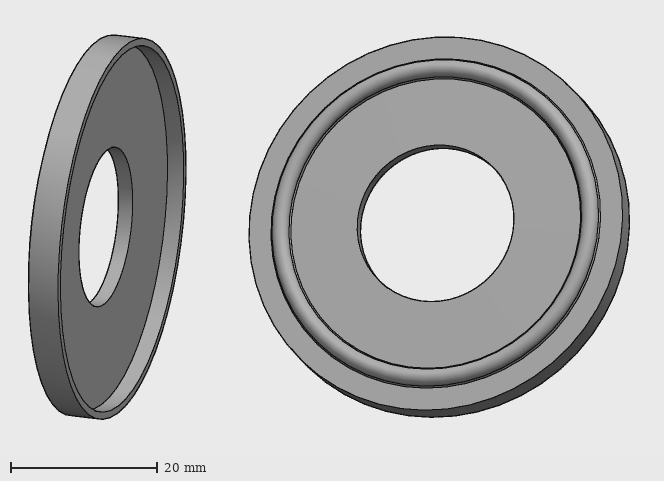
import cadquery as cq

rim_diameter = 52.5
bore_diameter = 22.0
rim_width = 4.3
rim_wall = 1.0
bore_length = 2.1
web_rise = 0.15
bead_height = 1.5
bead_pitch_diameter = 43.5
bead_radius = 1.2
bead_foot_flare = 0.2

rim_radius = rim_diameter / 2
recess_radius = rim_radius - rim_wall
bore_radius = bore_diameter / 2
bead_pitch_radius = bead_pitch_diameter / 2
bead_outer_radius = bead_pitch_radius + bead_radius
bead_inner_radius = bead_pitch_radius - bead_radius

lip_x = 0
face_x = lip_x - rim_width
crest_x = face_x - bead_height
bead_center_x = crest_x + bead_radius
bore_front_x = face_x - web_rise
recess_floor_x = bore_front_x + bore_length


def gasket_profile():
    """Half section in the XZ plane, with Z as the distance from the X axis."""
    return (
        cq.Workplane("XZ")
        .moveTo(recess_floor_x, bore_radius)
        .lineTo(recess_floor_x, recess_radius)
        .lineTo(lip_x, recess_radius)
        .lineTo(lip_x, rim_radius)
        .lineTo(face_x, rim_radius)
        .lineTo(face_x, bead_outer_radius + bead_foot_flare)
        .lineTo(bead_center_x, bead_outer_radius)
        .threePointArc((crest_x, bead_pitch_radius), (bead_center_x, bead_inner_radius))
        .lineTo(face_x, bead_inner_radius - bead_foot_flare)
        .lineTo(bore_front_x, bore_radius)
        .close()
    )


result = gasket_profile().revolve(360, (0, 0, 0), (1, 0, 0))